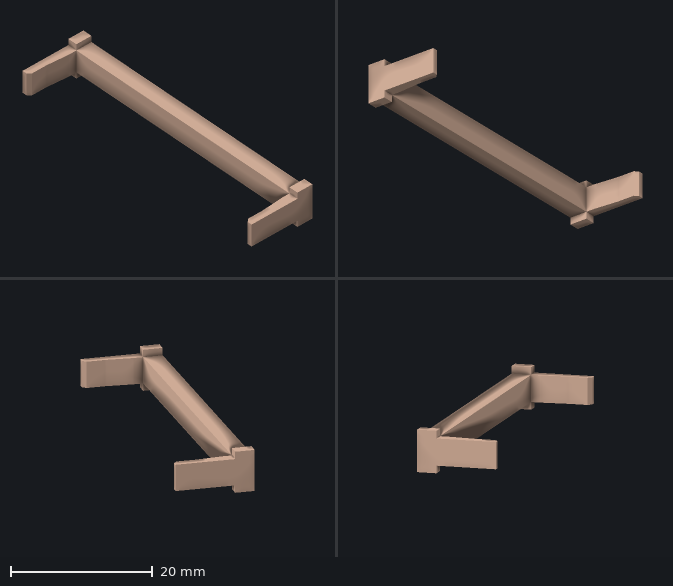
import cadquery as cq

length = 47.8
depth = 11.6
height = 6.1

bar_depth = 2.85
bar_height = 3.9
end_thickness = 1.65

tip_thickness = 1.35
root_length = 1.45
taper_length = 3.95
tip_chamfer = 0.53

outer_x = length / 2
back_y = depth / 2
bar_front_y = back_y - bar_depth
tip_y = -depth / 2
taper_start_y = bar_front_y - root_length
taper_end_y = taper_start_y - taper_length
bar_center_y = back_y - bar_depth / 2


def make_crossbar():
    """Rectangular bar spanning the whole length."""
    return cq.Workplane("XY").box(length, bar_depth, bar_height).translate((0, bar_center_y, 0))


def make_end_block():
    """Block at the +X end, standing above and below the bar."""
    center_x = outer_x - end_thickness / 2
    return cq.Workplane("XY").box(end_thickness, bar_depth, height).translate((center_x, bar_center_y, 0))


def make_leg():
    """Leg at the +X end, flat outside, thinned and chamfered on its inner side."""
    root_x = outer_x - end_thickness
    inner_tip_x = outer_x - tip_thickness
    outline = [
        (outer_x, bar_front_y),
        (root_x, bar_front_y),
        (root_x, taper_start_y),
        (inner_tip_x, taper_end_y),
        (inner_tip_x, tip_y + tip_chamfer),
        (inner_tip_x + tip_chamfer, tip_y),
        (outer_x, tip_y),
    ]
    return cq.Workplane("XY").polyline(outline).close().extrude(bar_height / 2, both=True)


right_end = make_end_block().union(make_leg())
left_end = right_end.mirror("YZ")
result = make_crossbar().union(right_end).union(left_end).clean()